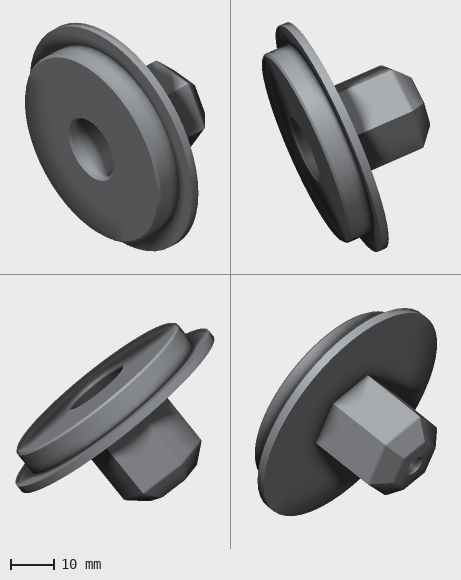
import cadquery as cq

flange_diameter = 57.15
flange_thickness = 2.0

boss_diameter = 47.8
boss_height = 6.0
edge_chamfer = 0.5

stem_corner_diameter = 22.85
stem_length = 21.0
stem_chamfer = 4.0
stem_edge_radius = 1.0
edge_search_margin = 0.3

bore_diameter = 15.0
bore_depth = 4.0
socket_floor_diameter = 11.65
socket_depth = 25.0
hole_diameter = 5.0

boss_face_y = -boss_height
flange_back_y = flange_thickness
stem_end_y = flange_back_y + stem_length
socket_floor_y = boss_face_y + socket_depth


def plane_at(y):
    """Plane square to the part axis, with its normal toward +Y."""
    return cq.Workplane(cq.Plane(origin=(0, y, 0), xDir=(1, 0, 0), normal=(0, 1, 0)))


def make_flange():
    return plane_at(0).circle(flange_diameter / 2).extrude(flange_thickness)


def make_boss():
    boss = plane_at(boss_face_y).circle(boss_diameter / 2).extrude(boss_height)
    return boss.faces("<Y").chamfer(edge_chamfer)


def make_stem():
    stem = plane_at(flange_back_y).polygon(6, stem_corner_diameter).extrude(stem_length)
    stem = stem.faces(">Y").chamfer(stem_chamfer)
    end_edges = stem.faces(">Y").edges()
    chamfer_start_y = stem_end_y - stem_chamfer
    side_edges = stem.edges(
        cq.selectors.BoxSelector(
            (-stem_corner_diameter, chamfer_start_y - edge_search_margin, -stem_corner_diameter),
            (stem_corner_diameter, chamfer_start_y + edge_search_margin, stem_corner_diameter),
        )
    )
    return stem.newObject(end_edges.vals() + side_edges.vals()).fillet(stem_edge_radius)


def make_opening():
    """Revolved cutter, drawn as radius against Y."""
    bore_radius = bore_diameter / 2
    profile = (
        cq.Workplane("XY")
        .moveTo(0, boss_face_y)
        .lineTo(bore_radius + edge_chamfer, boss_face_y)
        .lineTo(bore_radius, boss_face_y + edge_chamfer)
        .lineTo(bore_radius, boss_face_y + bore_depth)
        .lineTo(socket_floor_diameter / 2, socket_floor_y)
        .lineTo(hole_diameter / 2, socket_floor_y)
        .lineTo(hole_diameter / 2, stem_end_y)
        .lineTo(0, stem_end_y)
        .close()
    )
    return profile.revolve(360, (0, 0, 0), (0, 1, 0))


result = make_flange().union(make_boss()).union(make_stem()).cut(make_opening())